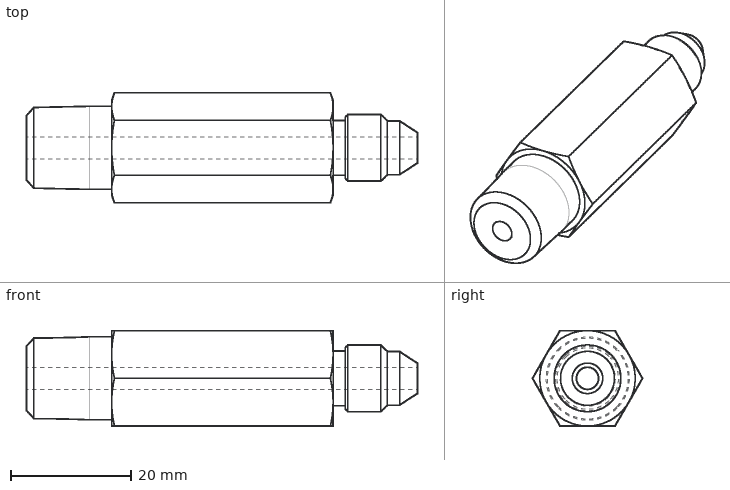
import cadquery as cq
import math

total_length = 65.0
entry_chamfer_end = 1.25
taper_end = 10.4
hex_start = 14.2
hex_end = 51.0
neck_end = 53.0
collar_chamfer_length = 0.45
collar_end = 60.0
nose_cone_start = 62.0

end_face_diameter = 10.7
taper_small_diameter = 13.45
shank_diameter = 13.85
neck_diameter = 9.2
collar_diameter = 11.1
collar_relief_diameter = 10.2
nose_diameter = 9.0
nose_tip_diameter = 5.1
bore_diameter = 3.65

hex_across_flats = 15.85
hex_across_corners = hex_across_flats / math.cos(math.radians(30))
hex_chamfer_angle = 20.0


def turned(profile):
    """Revolve (station, diameter) points around the X axis."""
    outline = [(station, diameter / 2) for station, diameter in profile]
    start = (outline[0][0], 0)
    end = (outline[-1][0], 0)
    return cq.Workplane("XY").polyline([start] + outline + [end]).close().revolve(360, (0, 0), (1, 0))


def hex_body():
    """Hexagonal prism with its corners chamfered conically at both ends."""
    prism = (
        cq.Workplane("YZ", origin=(hex_start, 0, 0))
        .polygon(6, hex_across_corners)
        .extrude(hex_end - hex_start)
    )
    corner_height = (hex_across_corners - hex_across_flats) / 2
    chamfer_length = corner_height * math.tan(math.radians(hex_chamfer_angle))
    envelope = turned([
        (hex_start, hex_across_flats),
        (hex_start + chamfer_length, hex_across_corners),
        (hex_end - chamfer_length, hex_across_corners),
        (hex_end, hex_across_flats),
    ])
    return prism.intersect(envelope)


def tapered_shank():
    """Chamfered, slightly tapered end followed by a short cylinder."""
    return turned([
        (0, end_face_diameter),
        (entry_chamfer_end, taper_small_diameter),
        (taper_end, shank_diameter),
        (hex_start, shank_diameter),
    ])


def nose_fitting():
    """Neck, chamfered collar and conical nose."""
    collar_front_chamfer = (collar_diameter - nose_diameter) / 2
    return turned([
        (hex_end, neck_diameter),
        (neck_end, neck_diameter),
        (neck_end, collar_relief_diameter),
        (neck_end + collar_chamfer_length, collar_diameter),
        (collar_end - collar_front_chamfer, collar_diameter),
        (collar_end, nose_diameter),
        (nose_cone_start, nose_diameter),
        (total_length, nose_tip_diameter),
    ])


def bore():
    """Straight bore through the whole length."""
    return cq.Workplane("YZ").circle(bore_diameter / 2).extrude(total_length)


result = hex_body().union(tapered_shank()).union(nose_fitting()).cut(bore())